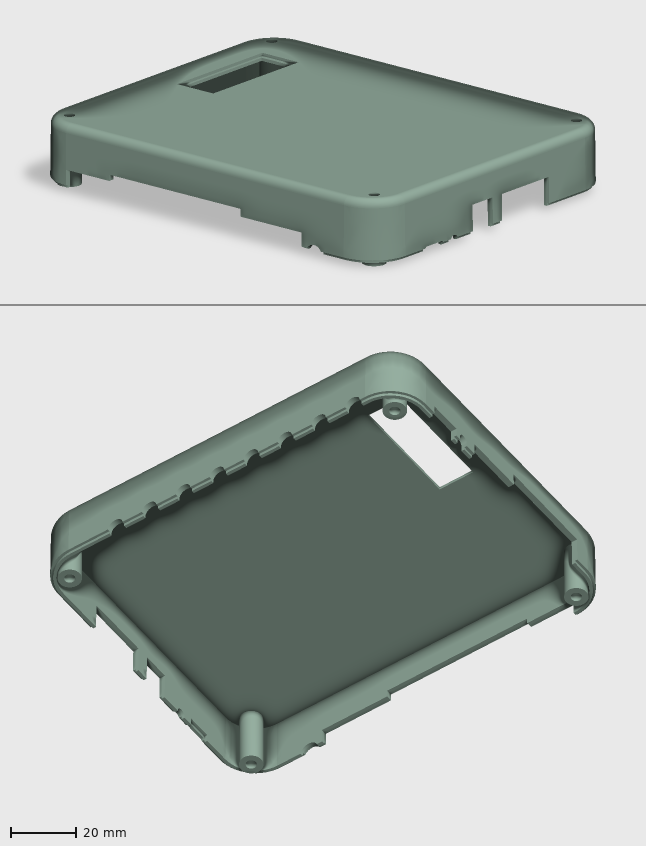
import cadquery as cq


base_length = 137.86
base_width = 112.22
corner_radius = 13.4
wall = 2.0
draft_angle = 0.75
lid_top = 21.9
plate_thickness = 2.0
top_edge_radius = 2.7

post_foot_height = 1.5
lip_height = 1.0
lip_inset = 0.9
lip_bottom = post_foot_height
rim = lip_bottom + lip_height

post_diameter = 7.5
screw_diameter = 3.5
post_spacing_x = 121.8
post_spacing_y = 95.9

window_length_x = 12.5
window_length_y = 38.0
window_center_x = -48.4
window_center_y = 16.75
ledge_length_x = 14.5
ledge_length_y = 40.5
ledge_center_y = 17.0
ledge_depth = 1.0

cut_reach = 5.0
cut_clearance = 1.0
cut_bottom = lip_bottom - cut_clearance
half_length = base_length / 2
half_width = base_width / 2

front_opening_start = corner_radius - half_length
front_step_up = -38.2
front_step_down = 14.25
front_opening_end = 38.7
front_left_roof = 7.5
front_middle_roof = 9.5
front_right_roof = 7.0
arch_radius = 3.2
arch_x = 43.7
arch_center_z = 0.85
tab_bottom = 2.0

cable_notch_count = 8
cable_notch_pitch = 12.7
cable_notches_left_of_center = 4
cable_notch_first_x = -cable_notches_left_of_center * cable_notch_pitch
cable_notch_diameter = 5.5
cable_notch_top = 5.0

left_notch_y = (26.7, 38.2)
left_notch_roof = 5.5
left_cable_y = 23.0
left_cable_top = 5.5
left_low_opening_y = (-3.7, 17.2)
left_low_roof = 7.0
left_tall_opening_y = (-37.2, -3.7)
left_tall_roof = 11.5

right_opening_roof = 11.0
right_openings_y = [(3.2, 25.5), (-10.7, -1.2)]
right_cable_y = -19.5
right_cable_top = 3.5
side_cable_diameter = 3.5
port_y = (-33.2, -24.7)
port_roof = 3.0
port_corner_radius = 0.9
port_recess_roof = 4.0
port_skin = 1.0


def rounded_block(inset, bottom, height, taper=0.0):
    """The base outline moved inward by `inset` and extruded upward, with optional draft."""
    outline = cq.Sketch().rect(base_length - 2 * inset, base_width - 2 * inset)
    outline = outline.vertices().fillet(corner_radius - inset)
    return cq.Workplane("XY").workplane(offset=bottom).placeSketch(outline).extrude(height, taper=taper)


def box_between(x_range, y_range, z_range):
    sizes = [high - low for low, high in (x_range, y_range, z_range)]
    corner = cq.Vector(x_range[0], y_range[0], z_range[0])
    return cq.Workplane(cq.Solid.makeBox(*sizes, corner))


def wall_range(side, half_size):
    """Depth range of a cutter through the wall on the given side (-1 or +1)."""
    return sorted((side * (half_size - cut_reach), side * (half_size + cut_clearance)))


def x_wall_opening(side, y_range, roof):
    return box_between(wall_range(side, half_length), y_range, (cut_bottom, roof))


def y_wall_opening(side, x_range, roof):
    return box_between(x_range, wall_range(side, half_width), (cut_bottom, roof))


def x_wall_notch(side, y, top, diameter):
    """Round-topped notch, open at the bottom, through a wall facing X."""
    radius = diameter / 2
    center_z = top - radius
    start, end = wall_range(side, half_length)
    bore = cq.Solid.makeCylinder(radius, end - start, cq.Vector(start, y, center_z), cq.Vector(1, 0, 0))
    return x_wall_opening(side, (y - radius, y + radius), center_z).union(cq.Workplane(bore))


def y_wall_bore(side, x, center_z, radius):
    start, end = wall_range(side, half_width)
    return cq.Workplane(
        cq.Solid.makeCylinder(radius, end - start, cq.Vector(x, start, center_z), cq.Vector(0, 1, 0))
    )


def y_wall_notch(side, x, top, diameter):
    """Round-topped notch, open at the bottom, through a wall facing Y."""
    radius = diameter / 2
    center_z = top - radius
    slot = y_wall_opening(side, (x - radius, x + radius), center_z)
    return slot.union(y_wall_bore(side, x, center_z, radius))


def make_shell():
    outside = rounded_block(0, rim, lid_top - rim, draft_angle).faces(">Z").edges().fillet(top_edge_radius)
    lip = rounded_block(lip_inset, lip_bottom, lip_height)
    cavity_height = lid_top - plate_thickness - lip_bottom
    cavity = rounded_block(wall, lip_bottom, cavity_height, draft_angle)
    return outside.union(lip).cut(cavity)


def cut_front_wall(body):
    body = body.cut(y_wall_opening(-1, (front_opening_start, front_step_up), front_left_roof))
    body = body.cut(y_wall_opening(-1, (front_step_up, front_step_down), front_middle_roof))
    body = body.cut(y_wall_opening(-1, (front_step_down, front_opening_end), front_right_roof))
    body = body.cut(y_wall_bore(-1, arch_x, arch_center_z, arch_radius))
    return body.cut(y_wall_opening(-1, (front_opening_end, arch_x), tab_bottom))


def cut_back_wall(body):
    for i in range(cable_notch_count):
        x = cable_notch_first_x + i * cable_notch_pitch
        body = body.cut(y_wall_notch(1, x, cable_notch_top, cable_notch_diameter))
    return body


def cut_left_wall(body):
    body = body.cut(x_wall_opening(-1, left_notch_y, left_notch_roof))
    body = body.cut(x_wall_notch(-1, left_cable_y, left_cable_top, side_cable_diameter))
    body = body.cut(x_wall_opening(-1, left_low_opening_y, left_low_roof))
    return body.cut(x_wall_opening(-1, left_tall_opening_y, left_tall_roof))


def cut_right_wall(body):
    for y_range in right_openings_y:
        body = body.cut(x_wall_opening(1, y_range, right_opening_roof))
    body = body.cut(x_wall_notch(1, right_cable_y, right_cable_top, side_cable_diameter))
    port = x_wall_opening(1, port_y, port_roof).edges("|X and >Z").fillet(port_corner_radius)
    recess_x = (half_length - cut_reach, half_length - port_skin)
    recess = box_between(recess_x, port_y, (cut_bottom, port_recess_roof))
    return body.cut(port).cut(recess)


def add_posts(body):
    def post_centers():
        return cq.Workplane("XY").rect(post_spacing_x, post_spacing_y, forConstruction=True).vertices()

    posts = post_centers().circle(post_diameter / 2).extrude(lid_top - plate_thickness)
    holes = post_centers().circle(screw_diameter / 2).extrude(lid_top)
    return body.union(posts).cut(holes)


def cut_window(body):
    plate_bottom = lid_top - plate_thickness
    opening = cq.Workplane("XY").box(window_length_x, window_length_y, plate_thickness, (True, True, False))
    opening = opening.translate((window_center_x, window_center_y, plate_bottom))
    ledge = cq.Workplane("XY").box(ledge_length_x, ledge_length_y, ledge_depth, (True, True, False))
    ledge = ledge.translate((window_center_x, ledge_center_y, lid_top - ledge_depth))
    return body.cut(opening).cut(ledge)


lid = make_shell()
lid = cut_front_wall(lid)
lid = cut_back_wall(lid)
lid = cut_left_wall(lid)
lid = cut_right_wall(lid)
lid = add_posts(lid)
lid = cut_window(lid)

result = cq.Compound.makeCompound([lid.val()])